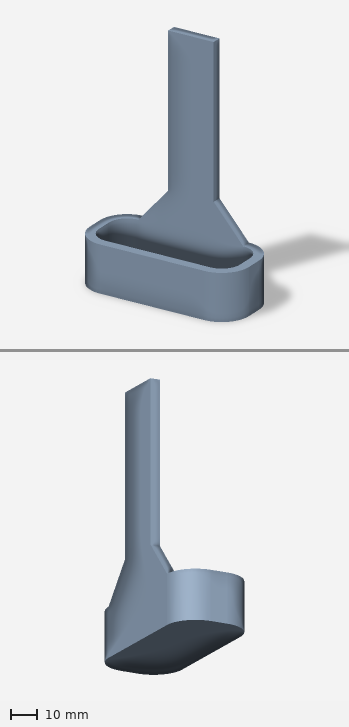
import cadquery as cq

cup_length = 70.0
cup_width = 31.0
cup_height = 20.0
corner_radius = 12.0
wall = 4.0
floor_thickness = 2.0

total_height = 100.0
handle_width = 20.0
flare_top = 35.0
flare_width = cup_length - 2 * corner_radius


def rounded_block(length, width, height, radius):
    """Upright block on the XY plane with rounded vertical edges."""
    return cq.Workplane("XY").rect(length, width).extrude(height).edges("|Z").fillet(radius)


def make_cup():
    outer = rounded_block(cup_length, cup_width, cup_height, corner_radius)
    cavity = rounded_block(
        cup_length - 2 * wall,
        cup_width - 2 * wall,
        cup_height - floor_thickness,
        corner_radius - wall,
    ).translate((0, 0, floor_thickness))
    return outer.cut(cavity)


def make_handle():
    right_side = [
        (flare_width / 2, 0),
        (flare_width / 2, cup_height),
        (handle_width / 2, flare_top),
        (handle_width / 2, total_height),
    ]
    left_side = [(-x, z) for x, z in reversed(right_side)]
    plate = cq.Workplane("XZ").polyline(right_side + left_side).close().extrude(wall)
    return plate.translate((0, cup_width / 2, 0))


result = make_cup().union(make_handle())